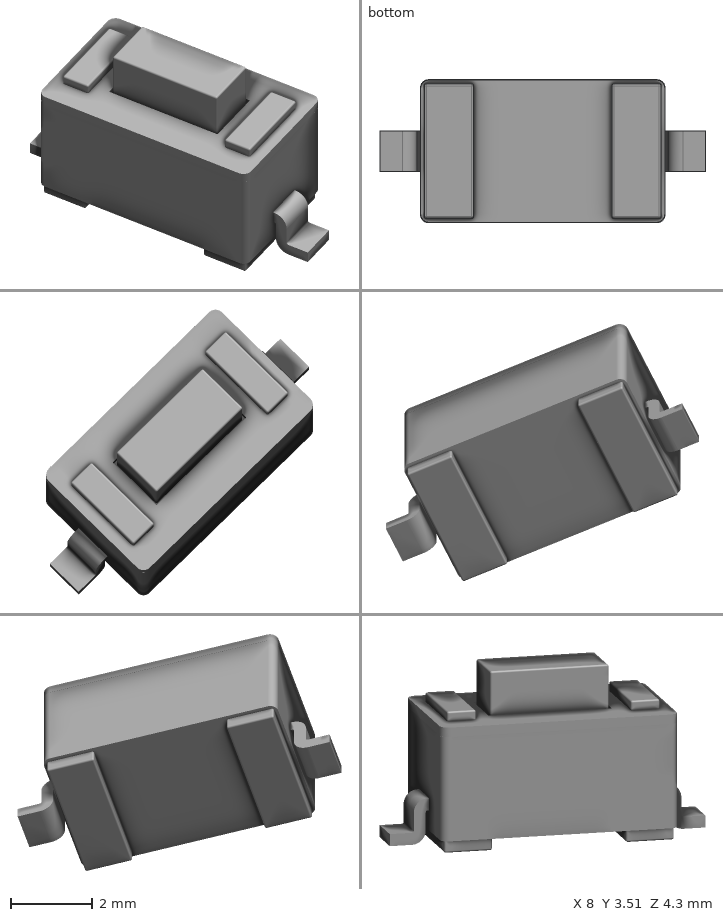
import cadquery as cq


body_length = 6.0
body_width = 3.5
body_bottom = 0.34
body_corner_radius = 0.2
cover_overhang = 0.004
cover_bottom = 2.97
cover_top = 3.21
cover_corner_radius = 0.22

button_length = 3.0
button_width = 1.4
button_top = 4.3
window_gap = 0.06

rail_length = 0.73
rail_width = 2.18
rail_top = 3.45
rail_center_x = 2.33
strip_length = 1.21
strip_width = 3.3
strip_bottom = 0.02
strip_center_x = 2.3

edge_radius = 0.05

lead_tip_x = 4.0
lead_width = 1.0
lead_thickness = 0.3
lead_outer_x = 3.39
lead_top = 1.15
bend_inner_radius = 0.05
lead_embed = 0.16


def block(length, width, bottom, top, center_x=0):
    """Upright box centred on the X axis at center_x."""
    height = top - bottom
    base = cq.Workplane("XY").box(length, width, height, centered=(True, True, False))
    return base.translate((center_x, 0, bottom))


def housing():
    return block(body_length, body_width, body_bottom, cover_bottom).edges("|Z").fillet(body_corner_radius)


def cover():
    """Plate on the housing, with a rectangular window around the button."""
    length = body_length + 2 * cover_overhang
    width = body_width + 2 * cover_overhang
    plate = block(length, width, cover_bottom, cover_top).edges("|Z").fillet(cover_corner_radius)
    window_length = button_length + 2 * window_gap
    window_width = button_width + 2 * window_gap
    return plate.cut(block(window_length, window_width, cover_bottom, cover_top))


def button():
    bar = block(button_length, button_width, cover_bottom, button_top)
    return bar.edges("|Z or >Z").fillet(edge_radius)


def rail(side):
    bar = block(rail_length, rail_width, cover_top, rail_top, side * rail_center_x)
    return bar.edges("|Z or >Z").fillet(edge_radius)


def strip(side):
    bar = block(strip_length, strip_width, strip_bottom, body_bottom, side * strip_center_x)
    return bar.edges("|Z or <Z").fillet(edge_radius)


def lead():
    """Terminal on the +X side: out of the housing, down, then outward to a flat foot."""
    root_x = body_length / 2 - lead_embed
    inner_x = lead_outer_x - lead_thickness
    profile = (
        cq.Workplane("XZ")
        .moveTo(root_x, lead_top)
        .lineTo(lead_outer_x, lead_top)
        .lineTo(lead_outer_x, lead_thickness)
        .lineTo(lead_tip_x, lead_thickness)
        .lineTo(lead_tip_x, 0)
        .lineTo(inner_x, 0)
        .lineTo(inner_x, lead_top - lead_thickness)
        .lineTo(root_x, lead_top - lead_thickness)
        .close()
        .extrude(lead_width / 2, both=True)
    )
    bend_outer_radius = bend_inner_radius + lead_thickness
    outer_corners = ((lead_outer_x, lead_top), (inner_x, 0))
    inner_corners = ((inner_x, lead_top - lead_thickness), (lead_outer_x, lead_thickness))
    for corners, radius in ((outer_corners, bend_outer_radius), (inner_corners, bend_inner_radius)):
        for x, z in corners:
            profile = profile.edges(cq.NearestToPointSelector((x, 0, z))).fillet(radius)
    return profile


result = housing().union(cover()).union(button())
for side in (-1, 1):
    result = result.union(rail(side)).union(strip(side))
result = result.union(lead()).union(lead().mirror("YZ"))